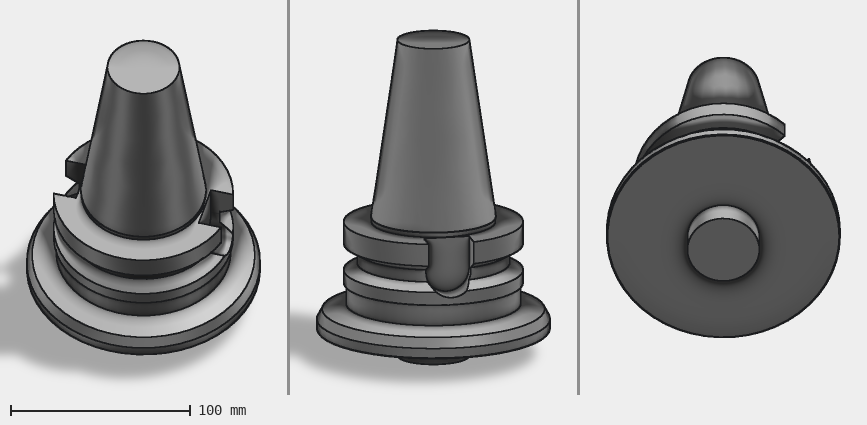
import cadquery as cq

PILOT_LENGTH = 15.0
RIM_BASE_CHAMFER = 0.5
RIM_EDGE_Z = 21.0
RIM_BEVEL_Z = 26.7
NECK_BASE_Z = 30.0
FLANGE_BASE_Z = 42.0
GROOVE_LOWER_EDGE_Z = 49.5
GROOVE_FLOOR_BASE_Z = 53.5
GROOVE_FLOOR_TOP_Z = 60.4
GROOVE_UPPER_EDGE_Z = 64.5
FLANGE_TOP_Z = 77.0
GAUGE_Z = 80.0
TOTAL_HEIGHT = 181.8

PILOT_RADIUS = 40.0 / 2
RIM_RADIUS = 130.0 / 2
RIM_TOP_RADIUS = 62.0
NECK_RADIUS = 97.5 / 2
FLANGE_RADIUS = 100.0 / 2
GROOVE_RADIUS = 42.5
COLLAR_RADIUS = 69.0 / 2
GAUGE_RADIUS = 69.8 / 2
TAPER_RATIO = 7 / 24
TAPER_END_RADIUS = GAUGE_RADIUS - (TOTAL_HEIGHT - GAUGE_Z) * TAPER_RATIO / 2

SLOT_WIDTH = 25.6
SLOT_FACE_X = 35.5
SLOT_BOTTOM_Z = 46.2


def revolve_profile(points):
    """Turn a closed (radius, height) outline around the Z axis."""
    return cq.Workplane("XZ").polyline(points).close().revolve(360, (0, 0, 0), (0, 1, 0))


def make_adapter():
    """Pilot, wide bevelled rim and neck below the shank flange."""
    return revolve_profile([
        (0, 0),
        (PILOT_RADIUS, 0),
        (PILOT_RADIUS, PILOT_LENGTH),
        (RIM_RADIUS - RIM_BASE_CHAMFER, PILOT_LENGTH),
        (RIM_RADIUS, PILOT_LENGTH + RIM_BASE_CHAMFER),
        (RIM_RADIUS, RIM_EDGE_Z),
        (RIM_TOP_RADIUS, RIM_BEVEL_Z),
        (NECK_RADIUS, NECK_BASE_Z),
        (NECK_RADIUS, FLANGE_BASE_Z),
        (0, FLANGE_BASE_Z),
    ])


def make_drive_slot(side):
    """Round-bottomed cutter, open upward and outward, on the +X or -X side."""
    slot_radius = SLOT_WIDTH / 2
    arc_center_z = SLOT_BOTTOM_Z + slot_radius
    return (
        cq.Workplane("YZ", origin=(side * SLOT_FACE_X, 0, 0))
        .moveTo(-slot_radius, FLANGE_TOP_Z)
        .lineTo(-slot_radius, arc_center_z)
        .threePointArc((0, SLOT_BOTTOM_Z), (slot_radius, arc_center_z))
        .lineTo(slot_radius, FLANGE_TOP_Z)
        .close()
        .extrude(side * (FLANGE_RADIUS - SLOT_FACE_X))
    )


def make_taper_shank():
    """Steep taper with a V-grooved flange and two opposite drive slots."""
    shank = revolve_profile([
        (0, FLANGE_BASE_Z),
        (FLANGE_RADIUS, FLANGE_BASE_Z),
        (FLANGE_RADIUS, GROOVE_LOWER_EDGE_Z),
        (GROOVE_RADIUS, GROOVE_FLOOR_BASE_Z),
        (GROOVE_RADIUS, GROOVE_FLOOR_TOP_Z),
        (FLANGE_RADIUS, GROOVE_UPPER_EDGE_Z),
        (FLANGE_RADIUS, FLANGE_TOP_Z),
        (COLLAR_RADIUS, FLANGE_TOP_Z),
        (COLLAR_RADIUS, GAUGE_Z - (GAUGE_RADIUS - COLLAR_RADIUS)),
        (GAUGE_RADIUS, GAUGE_Z),
        (TAPER_END_RADIUS, TOTAL_HEIGHT),
        (0, TOTAL_HEIGHT),
    ])
    for side in (-1, 1):
        shank = shank.cut(make_drive_slot(side))
    return shank


adapter = make_adapter()
taper_shank = make_taper_shank()
result = cq.Compound.makeCompound([adapter.val(), taper_shank.solids().val()])